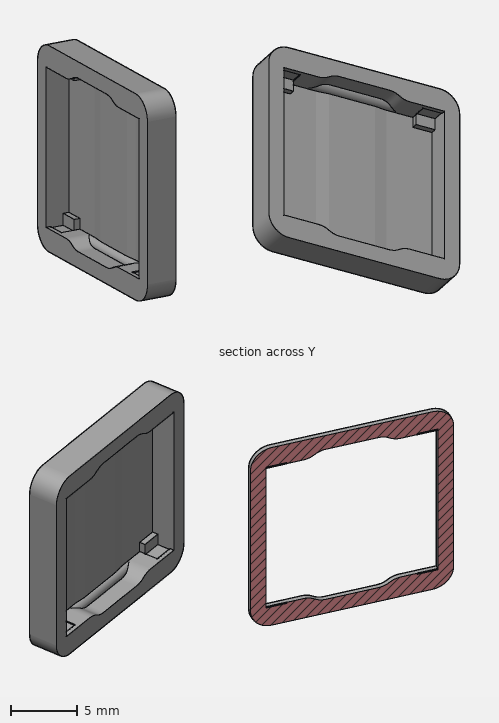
import cadquery as cq
import math

side = 16.5
thickness = 2.5
corner_radius = 1.75

pocket_width = 13.9
pocket_height = 12.8
pocket_depth = 2.0
half_width = pocket_width / 2
half_height = pocket_height / 2

rib_base_width = 6.1
rib_top_width = 3.96
rib_rise = 0.1

scoop_depth = 0.53
scoop_flat_width = 4.25
scoop_full_width = 7.89

pad_length = 1.65
pad_height = 0.85
pad_thickness = 0.5
notch_front = 0.38
notch_depth = 0.1


def box_between(x_range, y_range, z_range):
    """Box spanning the given coordinate ranges."""
    spans = [high - low for low, high in (x_range, y_range, z_range)]
    origin = (x_range[0], y_range[0], z_range[0])
    return cq.Workplane("XY").box(*spans, centered=False).translate(origin)


def make_frame():
    """Rounded square block with the rectangular pocket."""
    block = cq.Workplane("XY").box(side, thickness, side, centered=(True, False, True))
    block = block.edges("|Y").fillet(corner_radius)
    pocket = box_between(
        (-half_width, half_width), (0, pocket_depth), (-half_height, half_height)
    )
    return block.cut(pocket)


def make_floor_rib():
    """Low trapezoidal rib along Z, long enough to meet the rounded scoop lips."""
    base = rib_base_width / 2
    top = rib_top_width / 2
    rib_face = pocket_depth - rib_rise
    outline = [(-base, pocket_depth), (base, pocket_depth), (top, rib_face), (-top, rib_face)]
    reach = half_height + scoop_depth
    return (
        cq.Workplane("XY", origin=(0, 0, -reach))
        .polyline(outline)
        .close()
        .extrude(2 * reach)
    )


def make_upper_scoop():
    """Wall recess with S-shaped ends and a convex lip down to the floor."""
    flat = scoop_flat_width / 2
    full = scoop_full_width / 2
    crest = half_height + scoop_depth
    run = full - flat
    arc_radius = (run**2 + scoop_depth**2) / (4 * scoop_depth)
    half_turn = math.asin(run / 2 / arc_radius) / 2
    bend_x = arc_radius * math.sin(half_turn)
    bend_z = arc_radius * (1 - math.cos(half_turn))
    middle = ((flat + full) / 2, half_height + scoop_depth / 2)
    outer_bend = (full - bend_x, half_height + bend_z)
    inner_bend = (flat + bend_x, crest - bend_z)
    scoop = (
        cq.Workplane("XZ")
        .moveTo(full, half_height)
        .threePointArc(outer_bend, middle)
        .threePointArc(inner_bend, (flat, crest))
        .lineTo(-flat, crest)
        .threePointArc((-inner_bend[0], inner_bend[1]), (-middle[0], middle[1]))
        .threePointArc((-outer_bend[0], outer_bend[1]), (-full, half_height))
        .close()
        .extrude(-pocket_depth)
    )
    lip = (
        cq.Workplane("YZ", origin=(-full, 0, 0))
        .center(pocket_depth, crest)
        .circle(scoop_depth)
        .extrude(scoop_full_width)
    )
    return scoop.cut(lip)


def make_upper_right_pad():
    """Block in the corner between floor and walls."""
    return box_between(
        (half_width - pad_length, half_width),
        (pocket_depth - pad_thickness, pocket_depth),
        (half_height - pad_height, half_height),
    )


def make_upper_right_notch():
    """Shallow notch in the upper wall, directly in front of the pad."""
    return box_between(
        (half_width - pad_length, half_width),
        (notch_front, pocket_depth - pad_thickness),
        (half_height, half_height + notch_depth),
    )


def both_ends(feature):
    """The feature together with its copy mirrored from top to bottom."""
    return feature.union(feature.mirror("XY"))


def four_corners(feature):
    """The feature repeated symmetrically in all four corners."""
    return both_ends(feature.union(feature.mirror("YZ")))


result = (
    make_frame()
    .cut(both_ends(make_upper_scoop()))
    .cut(four_corners(make_upper_right_notch()))
    .union(make_floor_rib())
    .union(four_corners(make_upper_right_pad()))
)